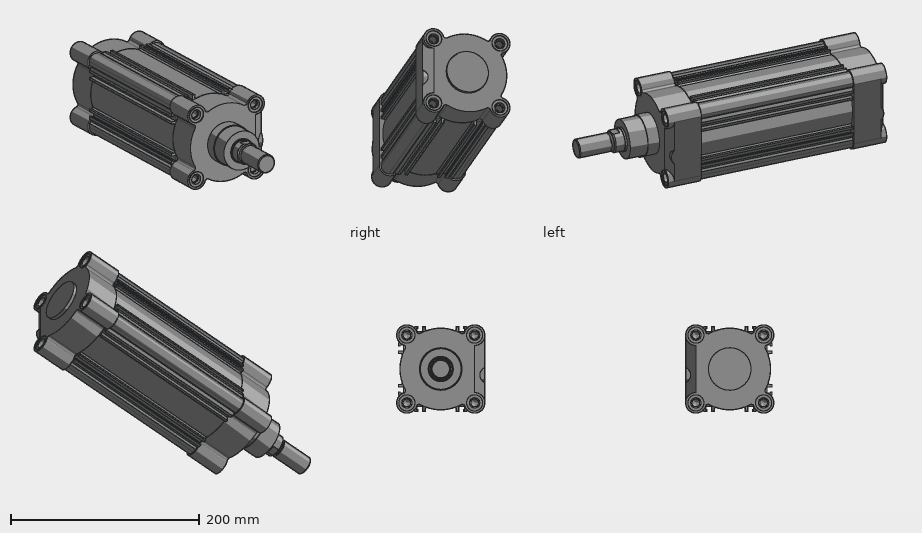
import cadquery as cq
import math


rear_boss_length = 3.8
cap_length = 38.0
tube_start = rear_boss_length + cap_length
tube_end = 218.0
front_face = tube_end + cap_length
collar_end = 269.3
nose_end = 289.5
lip_end = 291.5
rod_body_end = 303.2
neck_end = 306.0
rod_end = 343.0

cap_radius = 43.5
half_size = 47.0
post_radius = 11.0
post_offset = half_size - post_radius
post_fillet = 2.7
pad_root = 32.5
pad_bevel_length = 7.0
port_radius = 12.5
port_inset = 15.8
port_height = -6.5

recess_radius = 8.5
recess_depth = 1.0
bolt_hole_radius = 5.5
bolt_hole_depth = 6.0
pilot_radius = 4.0
pilot_depth = 20.5
drill_tip_angle = 118.0

boss_radius = 22.5
nose_radius = 21.5
lip_radius = 13.5

barrel_radius = 43.2
tube_half_size = 45.0
tube_corner_radius = 8.2
corner_center = tube_half_size - tube_corner_radius
fin_inner = 16.5
fin_outer = 19.2
fin_root_height = 42.2
fin_root = 14.7
slot_floor = 39.8
slot_wall = 25.5
lip_edge = 24.5
lip_underside = 43.2
groove_inner = 27.5
groove_bottom = 30.5
groove_outer = 32.5
groove_depth = 2.0

rod_radius = 12.5
rod_chamfer = 1.5
neck_radius = 8.2
neck_fillet = 1.5
stud_radius = 10.3
stud_chamfer = 1.0
flat_start = 294.5
flat_height = 11.3


def x_cylinder(start, end, radius, y=0.0, z=0.0):
    """Cylinder parallel to X between two stations."""
    return cq.Workplane("YZ", origin=(start, y, z)).circle(radius).extrude(end - start)


def make_bolt_hole(y, z):
    """Cutter for the recess, bore and narrower drilled pilot in one post, opening at x = 0."""
    tip_end = pilot_depth + pilot_radius / math.tan(math.radians(drill_tip_angle / 2))
    return (
        cq.Workplane("XY")
        .moveTo(0, 0)
        .lineTo(0, recess_radius)
        .lineTo(recess_depth, recess_radius)
        .lineTo(recess_depth, bolt_hole_radius)
        .lineTo(bolt_hole_depth, bolt_hole_radius)
        .lineTo(bolt_hole_depth, pilot_radius)
        .lineTo(pilot_depth, pilot_radius)
        .lineTo(tip_end, 0)
        .close()
        .revolve(360, (0, 0, 0), (1, 0, 0))
        .translate((0, y, z))
    )


def is_post_joint(edge):
    """True for a lengthwise edge where a post meets the round cap body."""
    center = edge.Center()
    on_body = abs(math.hypot(center.y, center.z) - cap_radius) < 0.05
    return on_body and abs(center.z) > post_radius


def make_cap():
    """End cap with its outer face at x = 0 and its inner face at x = cap_length."""
    post_centers = [(y, z) for y in (-post_offset, post_offset) for z in (-post_offset, post_offset)]

    body = x_cylinder(0, cap_length, cap_radius)
    pad = cq.Workplane("XY").box(
        cap_length, half_size - pad_root, 2 * post_offset, centered=(False, False, True)
    ).translate((0, pad_root, 0))
    bevel = (
        cq.Workplane("XY")
        .polyline([(0, post_offset), (pad_bevel_length, half_size), (0, half_size)])
        .close()
        .extrude(post_offset, both=True)
    )
    cap = body.union(pad).cut(bevel)

    for y, z in post_centers:
        cap = cap.union(x_cylinder(0, cap_length, post_radius, y, z))
    cap = cap.edges("|X").filter(is_post_joint).fillet(post_fillet)

    port = (
        cq.Workplane("XZ", origin=(port_inset, post_offset, port_height))
        .circle(port_radius)
        .extrude(post_offset - half_size)
    )
    cap = cap.union(port)

    for y, z in post_centers:
        cap = cap.cut(make_bolt_hole(y, z))
    return cap


def make_rear_cap():
    cap = make_cap().translate((rear_boss_length, 0, 0))
    return cap.union(x_cylinder(0, tube_start, boss_radius))


def make_front_cap():
    cap = make_cap().mirror("YZ").translate((front_face, 0, 0))
    cap = cap.union(x_cylinder(tube_end, collar_end, boss_radius))
    cap = cap.union(x_cylinder(tube_end, nose_end, nose_radius))
    cap = cap.union(x_cylinder(tube_end, lip_end, lip_radius))
    return cap.cut(x_cylinder(tube_end, lip_end, rod_radius))


def make_tube():
    """Extruded profile with the same fins, slots and grooves on all four sides."""
    half_side = [
        (fin_root, math.sqrt(barrel_radius**2 - fin_root**2)),
        (fin_inner, fin_root_height),
        (fin_inner, tube_half_size),
        (fin_outer, tube_half_size),
        (fin_outer, slot_floor),
        (slot_wall, slot_floor),
        (slot_wall, lip_underside),
        (lip_edge, lip_underside),
        (lip_edge, tube_half_size),
        (groove_inner, tube_half_size),
        (groove_bottom, tube_half_size - groove_depth),
        (groove_outer, tube_half_size),
        (corner_center, tube_half_size),
    ]
    mirrored_half = [(-u, v) for u, v in reversed(half_side)]
    corner_middle = corner_center + tube_corner_radius * math.sqrt(0.5)

    def turned(point, quarter_turns):
        """Point turned about the tube axis onto another side."""
        u, v = point
        for _ in range(quarter_turns):
            u, v = v, -u
        return u, v

    profile = cq.Workplane("YZ", origin=(tube_start, 0, 0)).moveTo(*mirrored_half[0])
    for side in range(4):
        for point in mirrored_half[1:]:
            profile = profile.lineTo(*turned(point, side))
        profile = profile.threePointArc(turned((0, barrel_radius), side), turned(half_side[0], side))
        for point in half_side[1:]:
            profile = profile.lineTo(*turned(point, side))
        profile = profile.threePointArc(
            turned((corner_middle, corner_middle), side),
            turned((tube_half_size, corner_center), side),
        )
    return profile.close().extrude(tube_end - tube_start)


def make_rod():
    """Rod from the tube end through the front cap, with a necked stud and two wrench flats."""
    body = x_cylinder(tube_end, rod_body_end, rod_radius).faces(">X").chamfer(rod_chamfer)
    neck = x_cylinder(rod_body_end, neck_end, neck_radius)
    stud = x_cylinder(neck_end, rod_end, stud_radius).faces(">X").chamfer(stud_chamfer)
    smallest_circle = cq.selectors.RadiusNthSelector(0)
    rod = body.union(neck).faces(">X[1]").edges(smallest_circle).fillet(neck_fillet)
    rod = rod.union(stud)
    for direction in (1, -1):
        flat = cq.Workplane("XY", origin=(flat_start, 0, direction * flat_height)).rect(
            rod_body_end - flat_start, 2 * rod_radius, centered=(False, True)
        )
        rod = rod.cut(flat.extrude(direction * rod_radius))
    return rod


rear_cap = make_rear_cap()
tube = make_tube()
front_cap = make_front_cap()
rod = make_rod()

result = cq.Compound.makeCompound([rear_cap.val(), tube.val(), front_cap.val(), rod.val()])